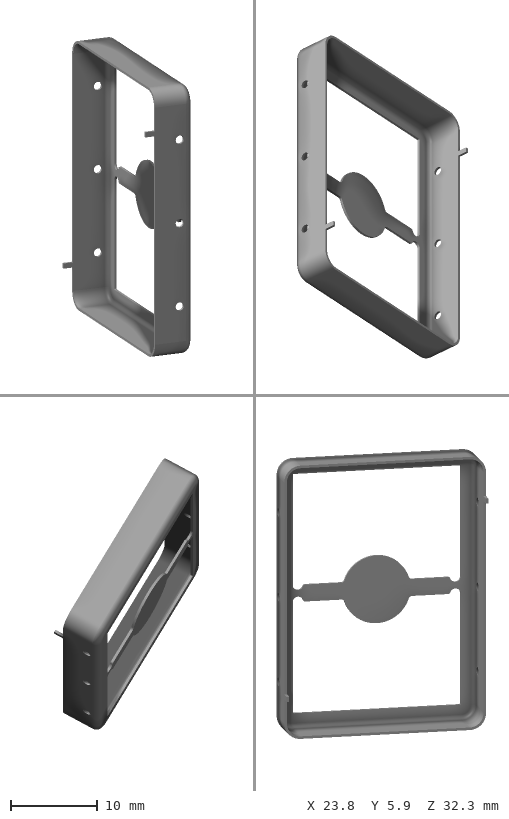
import cadquery as cq
import math

width = 23.8
height = 32.3
depth = 4.7
wall = 0.3
corner_radius = 1.9
edge_radius = 0.8

border = 2.0
window_width = width - 2 * border
window_height = height - 2 * border
window_corner_radius = 0.13

disc_radius = 4.0
bar_half_height = 1.0
neck_half_height = 0.4
notch_radius = bar_half_height - neck_half_height
bar_end_radius = 0.3
disc_blend_radius = 0.4

hole_diameter = 1.0
hole_spacing = 10.0
hole_from_back = 1.6

pin_length = 1.2
pin_height = 0.6
pin_offset_z = 11.1

rim_y = -depth / 2
back_y = depth / 2
plate_front_y = back_y - wall


def centred_box(size_x, size_z, start_y, end_y):
    """Box centred on X and Z, running from start_y to end_y."""
    length = end_y - start_y
    return cq.Workplane("XY").box(size_x, length, size_z).translate((0, (start_y + end_y) / 2, 0))


def rounded_block(inset, start_y, end_y):
    """Block set in from the outer faces, with concentric corners and rounded back edge."""
    block = centred_box(width - 2 * inset, height - 2 * inset, start_y, end_y)
    block = block.edges("|Y").fillet(corner_radius - inset)
    return block.faces(">Y").edges().fillet(edge_radius - inset)


def make_tray():
    outside = rounded_block(0, rim_y, back_y)
    inside = rounded_block(wall, rim_y, plate_front_y)
    return outside.cut(inside)


def make_opening():
    """Upper half of the window, bounded below by the bar and the disc."""
    half_width = window_width / 2
    bar_end = half_width - 2 * notch_radius
    notch_x = half_width - notch_radius
    disc_x = math.sqrt(disc_radius**2 - bar_half_height**2)
    opening = (
        cq.Workplane("XZ", origin=(0, back_y, 0))
        .moveTo(-half_width, bar_half_height)
        .threePointArc((-notch_x, neck_half_height), (-bar_end, bar_half_height))
        .lineTo(-disc_x, bar_half_height)
        .threePointArc((0, disc_radius), (disc_x, bar_half_height))
        .lineTo(bar_end, bar_half_height)
        .threePointArc((notch_x, neck_half_height), (half_width, bar_half_height))
        .lineTo(half_width, window_height / 2)
        .lineTo(-half_width, window_height / 2)
        .close()
        .extrude(wall)
    )

    def round_corners(body, x, z, radius):
        for side in (-1, 1):
            corner = cq.selectors.NearestToPointSelector((side * x, back_y - wall / 2, z))
            body = body.edges("|Y").edges(corner).fillet(radius)
        return body

    opening = round_corners(opening, half_width, window_height / 2, window_corner_radius)
    opening = round_corners(opening, disc_x, bar_half_height, disc_blend_radius)
    return round_corners(opening, bar_end, bar_half_height, bar_end_radius)


def make_side_holes():
    return (
        cq.Workplane("YZ")
        .pushPoints([(back_y - hole_from_back, step * hole_spacing) for step in (-1, 0, 1)])
        .circle(hole_diameter / 2)
        .extrude(width, both=True)
    )


def make_pin(side):
    """Pin continuing a side wall past the rim: low on the left, high on the right."""
    pin = centred_box(wall, pin_height, rim_y - pin_length, rim_y + wall)
    return pin.translate((side * (width - wall) / 2, 0, side * pin_offset_z))


upper_opening = make_opening()
lower_opening = upper_opening.mirror("XY")

result = make_tray().cut(upper_opening).cut(lower_opening).cut(make_side_holes())
for side in (-1, 1):
    result = result.union(make_pin(side))